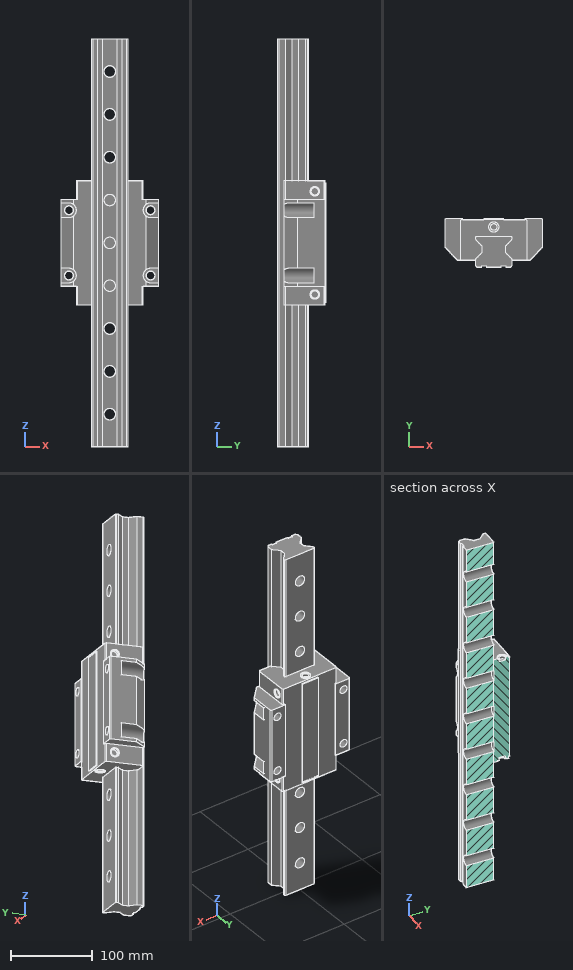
import cadquery as cq

RAIL_LENGTH = 500.0
RAIL_HEIGHT = 38.0
RAIL_HALF_WIDTH = 22.5
WAIST_HALF_WIDTH = 14.5
WAIST_LOW = 18.0
WAIST_HIGH = 26.0
HEAD_EDGE = 3.5
HEAD_CHAMFER = 1.0
BASE_SHOULDER = 10.0
BASE_CHAMFER = 2.0
GROOVE_INNER = 9.0
GROOVE_OUTER = 15.0
GROOVE_DEPTH = 1.5
RAIL_HOLE_DIAMETER = 14.0
RAIL_HOLE_PITCH = 52.5
RAIL_HOLE_COUNT = 9

CARRIAGE_BOTTOM = 8.5
CARRIAGE_TOP = 60.0
FLANGE_WIDTH = 120.0
FLANGE_LENGTH = 106.5
FLANGE_BEVEL_WIDTH = 15.5
FLANGE_BEVEL_HEIGHT = 16.5
FLANGE_CHAMFER = 1.5
CARRIAGE_LENGTH = 152.5
END_CAP_WIDTH = 82.0
PAD_HEIGHT = 1.5
END_CAP_TOP = CARRIAGE_TOP - PAD_HEIGHT
END_CAP_CHAMFER = 1.5
CENTRE_PAD_WIDTH = 24.0
CENTRE_PAD_SETBACK = 3.0
CENTRE_PAD_LENGTH = CARRIAGE_LENGTH - 2 * CENTRE_PAD_SETBACK
SIDE_PAD_INNER = 38.0

MOUNT_SPACING_X = 100.0
MOUNT_SPACING_Z = 80.0
MOUNT_HOLE_DIAMETER = 10.5
MOUNT_SEAT_WIDTH = 18.0
MOUNT_SEAT_HEIGHT = 45.0

PORT_MOUTH_DEPTH = 1.0
PORT_DEPTH = 5.0
END_PORT_MOUTH = 12.5
END_PORT_CORE = 8.0
END_PORT_HEIGHT = 49.5
SIDE_PORT_MOUTH = 11.5
SIDE_PORT_CORE = 9.0
SIDE_PORT_HEIGHT = 46.0
SIDE_PORT_END_OFFSET = 13.0


def mirrored_outline(right_half):
    """XY outline from its right half, listed from the bottom centre line to the top one."""
    left_half = [(-x, y) for x, y in reversed(right_half)]
    return cq.Workplane("XY").polyline(right_half + left_half).close()


def centred_prism(right_half, length):
    """Prism along Z, centred on Z = 0, with a section symmetric about X = 0."""
    return mirrored_outline(right_half).extrude(length / 2, both=True)


def cylinder(diameter, length, start, direction):
    """Cylinder that begins at the point start and runs along direction."""
    return cq.Workplane(cq.Solid.makeCylinder(diameter / 2, length, cq.Vector(start), cq.Vector(direction)))


RAIL_SIDE = [
    (RAIL_HALF_WIDTH - BASE_CHAMFER, 0),
    (RAIL_HALF_WIDTH, BASE_CHAMFER),
    (RAIL_HALF_WIDTH, BASE_SHOULDER),
    (WAIST_HALF_WIDTH, WAIST_LOW),
    (WAIST_HALF_WIDTH, WAIST_HIGH),
    (RAIL_HALF_WIDTH, RAIL_HEIGHT - HEAD_EDGE),
    (RAIL_HALF_WIDTH, RAIL_HEIGHT - HEAD_CHAMFER),
    (RAIL_HALF_WIDTH - HEAD_CHAMFER, RAIL_HEIGHT),
]


def make_rail():
    rail = centred_prism(RAIL_SIDE, RAIL_LENGTH)
    for side in (-1, 1):
        groove = cq.Workplane("XY").box(GROOVE_OUTER - GROOVE_INNER, GROOVE_DEPTH, RAIL_LENGTH)
        groove_x = side * (GROOVE_OUTER + GROOVE_INNER) / 2
        rail = rail.cut(groove.translate((groove_x, GROOVE_DEPTH / 2, 0)))
    for i in range(RAIL_HOLE_COUNT):
        z = (i - (RAIL_HOLE_COUNT - 1) / 2) * RAIL_HOLE_PITCH
        rail = rail.cut(cylinder(RAIL_HOLE_DIAMETER, RAIL_HEIGHT, (0, 0, z), (0, 1, 0)))
    return rail


def mount_cutter(side, end):
    """Through hole with a seat that is open towards the rail base and the flange's outer face."""
    x = side * MOUNT_SPACING_X / 2
    z = end * MOUNT_SPACING_Z / 2
    slot_length = FLANGE_WIDTH / 2 - MOUNT_SPACING_X / 2
    slot = cq.Workplane("XY").box(slot_length, MOUNT_SEAT_HEIGHT, MOUNT_SEAT_WIDTH)
    slot = slot.translate((x + side * slot_length / 2, MOUNT_SEAT_HEIGHT / 2, z))
    seat = cylinder(MOUNT_SEAT_WIDTH, MOUNT_SEAT_HEIGHT, (x, 0, z), (0, 1, 0))
    hole = cylinder(MOUNT_HOLE_DIAMETER, CARRIAGE_TOP, (x, 0, z), (0, 1, 0))
    return slot.union(seat).union(hole)


def port_cutter(mouth, core, start, inward):
    return cylinder(mouth, PORT_MOUTH_DEPTH, start, inward).union(cylinder(core, PORT_DEPTH, start, inward))


def end_port_cutter(end):
    start = (0, END_PORT_HEIGHT, end * CARRIAGE_LENGTH / 2)
    return port_cutter(END_PORT_MOUTH, END_PORT_CORE, start, (0, 0, -end))


def side_port_cutter(side, end):
    z = end * (CARRIAGE_LENGTH / 2 - SIDE_PORT_END_OFFSET)
    start = (side * END_CAP_WIDTH / 2, SIDE_PORT_HEIGHT, z)
    return port_cutter(SIDE_PORT_MOUTH, SIDE_PORT_CORE, start, (-side, 0, 0))


def make_carriage():
    half_flange = FLANGE_WIDTH / 2
    carriage = centred_prism(
        [
            (half_flange - FLANGE_BEVEL_WIDTH, CARRIAGE_BOTTOM),
            (half_flange, CARRIAGE_BOTTOM + FLANGE_BEVEL_HEIGHT),
            (half_flange, CARRIAGE_TOP - FLANGE_CHAMFER),
            (half_flange - FLANGE_CHAMFER, CARRIAGE_TOP),
            (SIDE_PAD_INNER, CARRIAGE_TOP),
            (SIDE_PAD_INNER, END_CAP_TOP),
        ],
        FLANGE_LENGTH,
    )
    half_cap = END_CAP_WIDTH / 2
    carriage = carriage.union(
        centred_prism(
            [
                (half_cap - END_CAP_CHAMFER, CARRIAGE_BOTTOM),
                (half_cap, CARRIAGE_BOTTOM + END_CAP_CHAMFER),
                (half_cap, END_CAP_TOP - END_CAP_CHAMFER),
                (half_cap - END_CAP_CHAMFER, END_CAP_TOP),
            ],
            CARRIAGE_LENGTH,
        )
    )
    centre_pad = cq.Workplane("XY").box(CENTRE_PAD_WIDTH, PAD_HEIGHT, CENTRE_PAD_LENGTH)
    carriage = carriage.union(centre_pad.translate((0, CARRIAGE_TOP - PAD_HEIGHT / 2, 0)))
    carriage = carriage.cut(centred_prism(RAIL_SIDE, RAIL_LENGTH))
    for end in (-1, 1):
        carriage = carriage.cut(end_port_cutter(end))
        for side in (-1, 1):
            carriage = carriage.cut(mount_cutter(side, end))
            carriage = carriage.cut(side_port_cutter(side, end))
    return carriage


result = cq.Compound.makeCompound([make_rail().val(), make_carriage().val()])